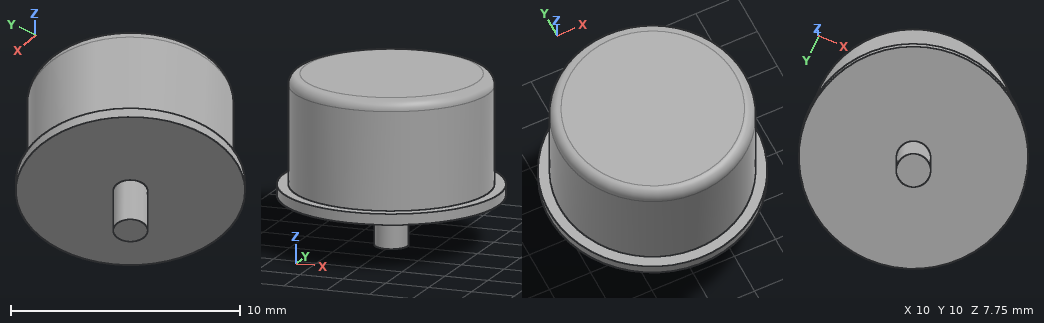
import cadquery as cq

flange_diameter = 10.0
flange_thickness = 0.5
can_diameter = 9.0
can_height = 5.0
can_edge_radius = 0.5
pin_diameter = 1.5
pin_length = 2.25


def make_flange():
    """Round base flange with its underside at Z = 0."""
    return cq.Workplane("XY").circle(flange_diameter / 2).extrude(flange_thickness)


def make_can():
    """Cylindrical can on the flange, with a rounded top edge."""
    can = (
        cq.Workplane("XY")
        .workplane(offset=flange_thickness)
        .circle(can_diameter / 2)
        .extrude(can_height)
    )
    return can.faces(">Z").edges().fillet(can_edge_radius)


def make_pin():
    """Central pin hanging below the flange."""
    return cq.Workplane("XY").circle(pin_diameter / 2).extrude(-pin_length)


result = make_flange().union(make_can()).union(make_pin())